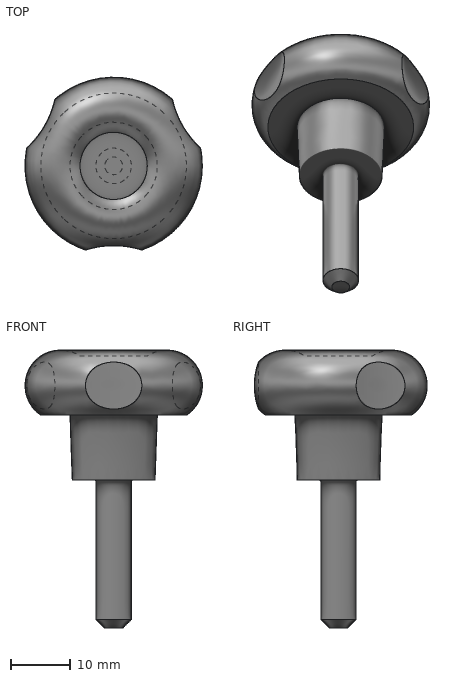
import cadquery as cq
import math

hub_height = 11.0
hub_base_radius = 7.0
hub_draft_angle = 2.0
hub_edge_fillet = 0.1

head_radius = 15.0
head_height = 11.0
ring_section_radius = 6.0
dish_depth = 1.0

stud_radius = 3.0
stud_length = 25.0
stud_tip_chamfer = 1.5

scallop_count = 3
scallop_radius = 16.0
scallop_axis_distance = 29.5
first_scallop_angle = -90.0

head_top = hub_height + head_height
ring_center_radius = head_radius - ring_section_radius
ring_center_height = head_top - ring_section_radius
dish_floor = head_top - dish_depth
hub_top_radius = hub_base_radius + hub_height * math.tan(math.radians(hub_draft_angle))


def ring_half_width(height):
    """Horizontal half width of the ring section at the given height."""
    return math.sqrt(ring_section_radius**2 - (height - ring_center_height) ** 2)


def make_head():
    """Revolved head with a flat underside and a flat-floored dish on top."""
    underside_radius = ring_center_radius + ring_half_width(hub_height)
    dish_radius = ring_center_radius - ring_half_width(dish_floor)
    return (
        cq.Workplane("XZ")
        .moveTo(0, hub_height)
        .lineTo(underside_radius, hub_height)
        .threePointArc((head_radius, ring_center_height), (dish_radius, dish_floor))
        .lineTo(0, dish_floor)
        .close()
        .revolve(360, (0, 0, 0), (0, 1, 0))
    )


def make_hub():
    """Drafted hub, widening upward to the underside of the head."""
    return (
        cq.Workplane("XY")
        .circle(hub_base_radius)
        .workplane(offset=hub_height)
        .circle(hub_top_radius)
        .loft(ruled=True)
    )


def make_stud():
    """Plain stud below the hub with a chamfered tip."""
    stud = cq.Workplane("XY").circle(stud_radius).extrude(-stud_length)
    return stud.faces("<Z").chamfer(stud_tip_chamfer)


def make_scallop_cutters():
    """Vertical cylinders that cut the finger scallops over the head's height."""
    return (
        cq.Workplane("XY")
        .workplane(offset=hub_height)
        .polarArray(scallop_axis_distance, first_scallop_angle, 360, scallop_count)
        .circle(scallop_radius)
        .extrude(head_height)
    )


def make_shank():
    """Hub and stud joined, with both edges of the hub's lower face rounded."""
    shank = make_hub().union(make_stud())
    hub_lower_face = shank.faces(cq.NearestToPointSelector((0, 0, 0)))
    return hub_lower_face.edges().fillet(hub_edge_fillet)


head = make_head().cut(make_scallop_cutters())
result = head.union(make_shank())